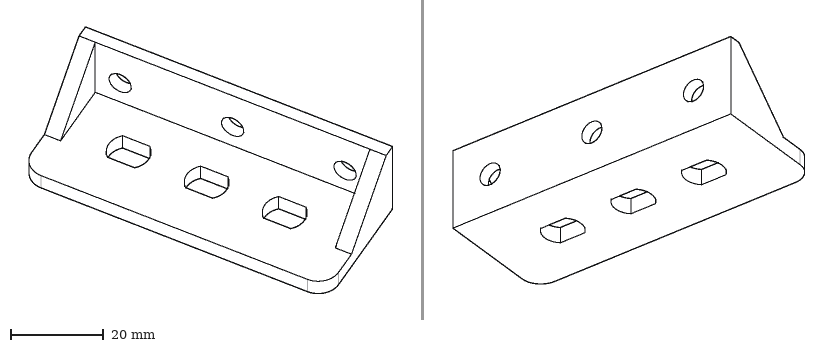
import cadquery as cq

length = 75.0
depth = 30.0
height = 20.0

base_thickness = 4.0
wall_thickness = 3.0
gusset_width = 4.0
corner_radius = 5.0

wall_hole_diameter = 5.4
wall_hole_spacing = 27.45
wall_hole_height = height / 2

opening_diameter = 9.7
opening_flat_width = 7.05
opening_spacing = 19.05

hole_count = 3


def row_positions(spacing):
    """X positions of an evenly spaced row centred on the part."""
    return [(i - (hole_count - 1) / 2) * spacing for i in range(hole_count)]


def make_base():
    """Flat plate with its two front corners rounded."""
    plate = cq.Workplane("XY").box(length, depth, base_thickness, centered=(True, True, False))
    return plate.edges("|Z and <Y").fillet(corner_radius)


def make_wall():
    """Upright wall along the back edge."""
    wall = cq.Workplane("XY").box(length, wall_thickness, height, centered=(True, False, False))
    return wall.translate((0, depth / 2 - wall_thickness, 0))


def make_gusset(x_start):
    """45 degree triangular rib between the base and the wall."""
    wall_face = depth / 2 - wall_thickness
    rise = height - base_thickness
    profile = [
        (wall_face, base_thickness),
        (wall_face, height),
        (wall_face - rise, base_thickness),
    ]
    return cq.Workplane("YZ", origin=(x_start, 0, 0)).polyline(profile).close().extrude(gusset_width)


def make_wall_hole(x):
    """Cylinder that drills one hole through the back wall."""
    return (
        cq.Workplane("XZ", origin=(x, depth / 2, wall_hole_height))
        .circle(wall_hole_diameter / 2)
        .extrude(wall_thickness)
    )


def make_base_opening(x):
    """Round cutter with flats at its front and back."""
    cylinder = cq.Workplane("XY").circle(opening_diameter / 2).extrude(base_thickness)
    flats = cq.Workplane("XY").rect(opening_diameter, opening_flat_width).extrude(base_thickness)
    return cylinder.intersect(flats).translate((x, 0, 0))


result = make_base().union(make_wall())
for gusset_start in (-length / 2, length / 2 - gusset_width):
    result = result.union(make_gusset(gusset_start))
for hole_x in row_positions(wall_hole_spacing):
    result = result.cut(make_wall_hole(hole_x))
for opening_x in row_positions(opening_spacing):
    result = result.cut(make_base_opening(opening_x))